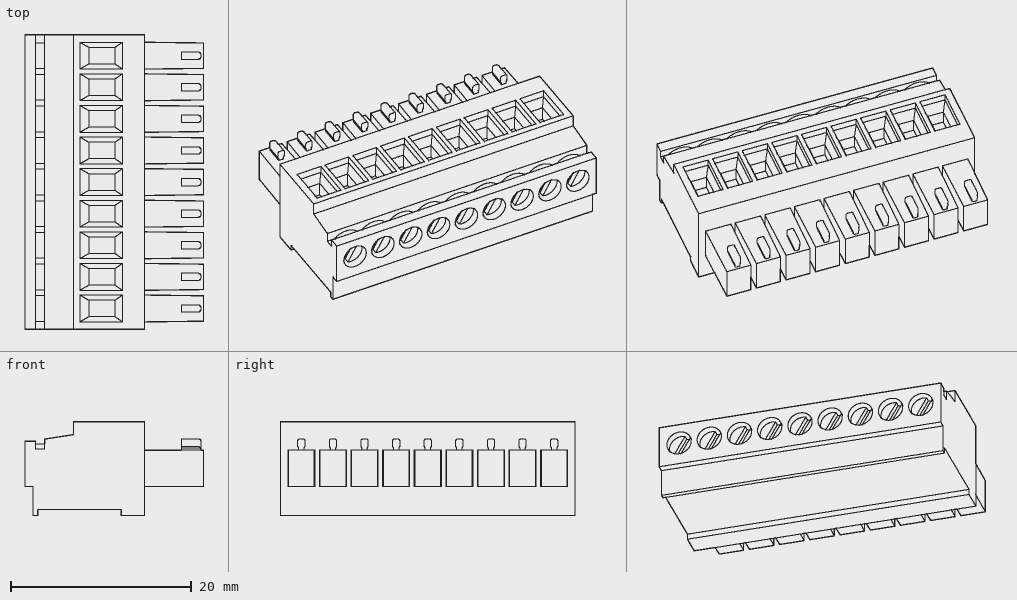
import cadquery as cq

length = 32.6
body_depth = 13.27
overall_depth = 19.8
height = 10.4

contact_count = 9
end_margin = 2.3
pitch = (length - 2 * end_margin) / (contact_count - 1)
contact_y = [-length / 2 + end_margin + i * pitch for i in range(contact_count)]

ledge_z = 3.2
ledge_depth = 0.88
foot_height = 0.65
front_foot_back = 1.45
rear_foot_front = 10.65
lip_z = 8.25
groove_front = 1.2
groove_back = 2.2
groove_floor = 7.37
slope_low_z = 8.48
slope_high_z = 8.97
tower_front = 5.38

screw_z = 5.87
screw_hole_diameter = 2.8
screw_recess = 0.98
screw_slot_width = 0.7
screw_slot_depth = 0.65
screw_slot_angle = 60.0
collar_diameter = 4.15

funnel_front = 6.1
funnel_back = 10.8
funnel_width = 2.97
throat_front = 7.08
throat_back = 9.98
throat_width = 1.83
funnel_rim_depth = 0.85
funnel_taper_depth = 0.78
funnel_depth = 3.25

sleeve_top = 7.25
sleeve_bottom = ledge_z
sleeve_root_width = 3.0
sleeve_tip_width = 2.85

rib_front = 17.3
rib_back = 19.5
rib_top = 8.48
rib_width = 0.8
rib_top_round = 0.23
rib_end_round = 0.33
rib_neck_width = 0.6
rib_neck_top = 7.47
rib_undercut_top = 7.65


def box(x_range, y_range, z_range):
    (x0, x1), (y0, y1), (z0, z1) = x_range, y_range, z_range
    return cq.Workplane("XY").box(x1 - x0, y1 - y0, z1 - z0, centered=False).translate((x0, y0, z0))


def centered_range(middle, width):
    return (middle - width / 2, middle + width / 2)


def make_block():
    profile = [
        (0, ledge_z), (0, lip_z), (groove_front, lip_z), (groove_front, groove_floor),
        (groove_back, groove_floor), (groove_back, slope_low_z), (tower_front, slope_high_z),
        (tower_front, height), (body_depth, height), (body_depth, 0), (rear_foot_front, 0),
        (rear_foot_front, foot_height), (front_foot_back, foot_height), (front_foot_back, 0),
        (ledge_depth, 0), (ledge_depth, ledge_z),
    ]
    return cq.Workplane("XZ").polyline(profile).close().extrude(length / 2, both=True)


def make_collar(y):
    plane = cq.Plane(origin=(groove_front, y, screw_z), xDir=(0, 1, 0), normal=(1, 0, 0))
    collar = cq.Workplane(plane).circle(collar_diameter / 2).extrude(groove_back - groove_front)
    above_floor = box((groove_front, groove_back), centered_range(y, pitch), (groove_floor, height))
    return collar.intersect(above_floor)


def make_screw_recess(y):
    plane = cq.Plane(origin=(0, y, screw_z), xDir=(0, 1, 0), normal=(1, 0, 0))
    radius = screw_hole_diameter / 2
    hole = cq.Workplane(plane).circle(radius).extrude(screw_recess)
    slot = (
        cq.Workplane(plane)
        .transformed(rotate=(0, 0, 180 - screw_slot_angle))
        .rect(screw_hole_diameter, screw_slot_width)
        .extrude(screw_recess + screw_slot_depth)
    )
    bore = cq.Workplane(plane).circle(radius).extrude(screw_recess + screw_slot_depth)
    return hole.union(slot.intersect(bore))


def make_funnel(y):
    rim_z = height - funnel_rim_depth
    throat_z = rim_z - funnel_taper_depth
    rim = box((funnel_front, funnel_back), centered_range(y, funnel_width), (rim_z, height))
    funnel_center = (funnel_front + funnel_back) / 2
    throat_center = (throat_front + throat_back) / 2
    taper = (
        cq.Workplane("XY", origin=(funnel_center, y, rim_z))
        .rect(funnel_back - funnel_front, funnel_width)
        .workplane(offset=-funnel_taper_depth)
        .center(throat_center - funnel_center, 0)
        .rect(throat_back - throat_front, throat_width)
        .loft(ruled=True)
    )
    throat = box(
        (throat_front, throat_back), centered_range(y, throat_width), (height - funnel_depth, throat_z)
    )
    return rim.union(taper).union(throat)


def make_sleeve(y):
    outline = [
        (body_depth, y - sleeve_root_width / 2), (overall_depth, y - sleeve_tip_width / 2),
        (overall_depth, y + sleeve_tip_width / 2), (body_depth, y + sleeve_root_width / 2),
    ]
    return (
        cq.Workplane("XY", origin=(0, 0, sleeve_bottom))
        .polyline(outline).close().extrude(sleeve_top - sleeve_bottom)
    )


def make_rib(y):
    bar = box((rib_front, rib_back), centered_range(y, rib_width), (sleeve_top, rib_top))
    bar = bar.edges("|Z and >X").fillet(rib_end_round)
    bar = bar.faces(">Z").edges("not <X").fillet(rib_top_round)
    half_neck = rib_neck_width / 2
    half_width = rib_width / 2
    section = [
        (y - half_neck, sleeve_top), (y - half_neck, rib_neck_top), (y - half_width, rib_undercut_top),
        (y - half_width, rib_top), (y + half_width, rib_top), (y + half_width, rib_undercut_top),
        (y + half_neck, rib_neck_top), (y + half_neck, sleeve_top),
    ]
    undercut_bar = (
        cq.Workplane("YZ", origin=(rib_front, 0, 0))
        .polyline(section).close().extrude(rib_back - rib_front)
    )
    return bar.intersect(undercut_bar)


result = make_block()
for y in contact_y:
    result = result.union(make_collar(y)).union(make_sleeve(y)).union(make_rib(y))
for y in contact_y:
    result = result.cut(make_screw_recess(y)).cut(make_funnel(y))